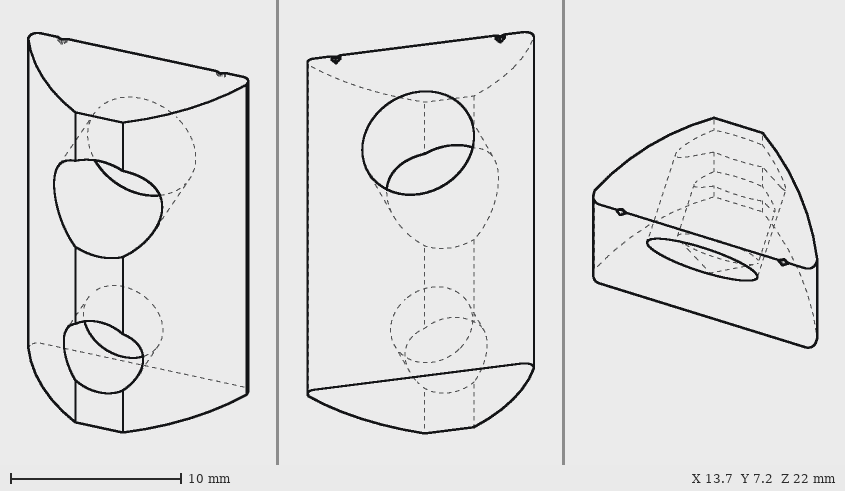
import cadquery as cq
import math

LENGTH = 22.0
WIDTH = 13.7
DEPTH = 7.0
FRONT_FLAT_WIDTH = 3.0
CORNER_RADIUS = 0.5
SIDE_FLAT_END = 0.73
FLANK_RADIUS = 15.0

THROUGH_DIAMETER = 6.8
THROUGH_HEIGHT = 15.5
BLIND_DIAMETER = 5.0
BLIND_HEIGHT = 5.0
BLIND_WALL_DEPTH = 3.95
DRILL_POINT_ANGLE = 118.0

SPIKE_SPACING = 9.99
SPIKE_WIDTH = 0.57
SPIKE_REACH = 0.2
SPIKE_HEIGHT = 0.29
NICK_DEPTH = 0.15
NICK_HEIGHT = 0.22


def make_body():
    """Extrude the cross-section and round its two back corners."""
    half_width = WIDTH / 2
    half_flat = FRONT_FLAT_WIDTH / 2
    profile = (
        cq.Workplane("XY")
        .moveTo(-half_width, 0)
        .lineTo(-half_width, -SIDE_FLAT_END)
        .radiusArc((-half_flat, -DEPTH), -FLANK_RADIUS)
        .lineTo(half_flat, -DEPTH)
        .radiusArc((half_width, -SIDE_FLAT_END), -FLANK_RADIUS)
        .lineTo(half_width, 0)
        .close()
    )
    return profile.extrude(LENGTH).edges("|Z and >Y").fillet(CORNER_RADIUS)


def make_through_hole():
    return (
        cq.Workplane("XZ")
        .center(0, THROUGH_HEIGHT)
        .circle(THROUGH_DIAMETER / 2)
        .extrude(DEPTH)
    )


def make_blind_hole():
    """Revolve a drilled hole with a conical bottom about its own axis."""
    radius = BLIND_DIAMETER / 2
    wall_end = BLIND_WALL_DEPTH - DEPTH
    point_depth = radius / math.tan(math.radians(DRILL_POINT_ANGLE / 2))
    return (
        cq.Workplane("XY")
        .polyline([(0, -DEPTH), (radius, -DEPTH), (radius, wall_end), (0, wall_end + point_depth)])
        .close()
        .revolve(360, (0, 0, 0), (0, 1, 0))
        .translate((0, 0, BLIND_HEIGHT))
    )


def make_spike(x):
    """Flat-topped spike that tapers down to a point on the back face."""
    top = LENGTH - NICK_HEIGHT
    left = cq.Vector(x - SPIKE_WIDTH / 2, 0, top)
    right = cq.Vector(x + SPIKE_WIDTH / 2, 0, top)
    tip = cq.Vector(x, SPIKE_REACH, top)
    foot = cq.Vector(x, 0, top - SPIKE_HEIGHT)
    corners = [(left, right, tip), (left, right, foot), (left, tip, foot), (right, tip, foot)]
    faces = [cq.Face.makeFromWires(cq.Wire.makePolygon(face, close=True)) for face in corners]
    return cq.Solid.makeSolid(cq.Shell.makeShell(faces))


def make_nick(x):
    """V-shaped nick between the spike's flat top and the end face."""
    return (
        cq.Workplane("XY", origin=(x, 0, LENGTH - NICK_HEIGHT))
        .polyline([(-SPIKE_WIDTH / 2, 0), (SPIKE_WIDTH / 2, 0), (0, -NICK_DEPTH)])
        .close()
        .extrude(NICK_HEIGHT)
    )


result = make_body().cut(make_through_hole()).cut(make_blind_hole())
for spike_x in (-SPIKE_SPACING / 2, SPIKE_SPACING / 2):
    result = result.cut(make_nick(spike_x))
    result = result.union(cq.Workplane(make_spike(spike_x)))